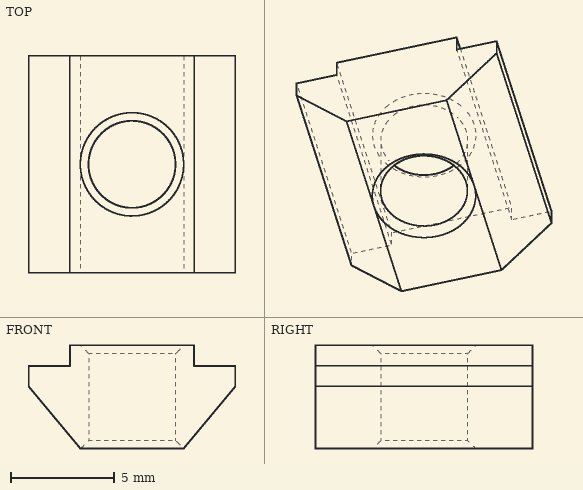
import cadquery as cq

length = 10.5
flange_width = 10.0
neck_width = 6.0
base_width = 5.0

taper_height = 3.0
flange_height = 1.0
neck_height = 1.0

hole_diameter = 4.2
countersink_diameter = 5.0

flange_bottom = taper_height
flange_top = flange_bottom + flange_height
total_height = flange_top + neck_height


def make_body():
    """Stepped, tapered profile extruded along Y and centred on the origin in plan."""
    return (
        cq.Workplane("XZ")
        .moveTo(-base_width / 2, 0)
        .lineTo(base_width / 2, 0)
        .lineTo(flange_width / 2, flange_bottom)
        .lineTo(flange_width / 2, flange_top)
        .lineTo(neck_width / 2, flange_top)
        .lineTo(neck_width / 2, total_height)
        .lineTo(-neck_width / 2, total_height)
        .lineTo(-neck_width / 2, flange_top)
        .lineTo(-flange_width / 2, flange_top)
        .lineTo(-flange_width / 2, flange_bottom)
        .close()
        .extrude(length / 2, both=True)
    )


def make_hole():
    """Vertical through hole with a 45 degree countersink at each end, as a solid to remove."""
    hole_radius = hole_diameter / 2
    countersink_radius = countersink_diameter / 2
    countersink_depth = countersink_radius - hole_radius
    return (
        cq.Workplane("XZ")
        .lineTo(countersink_radius, 0)
        .lineTo(hole_radius, countersink_depth)
        .lineTo(hole_radius, total_height - countersink_depth)
        .lineTo(countersink_radius, total_height)
        .lineTo(0, total_height)
        .close()
        .revolve(360, (0, 0, 0), (0, 1, 0))
    )


result = make_body().cut(make_hole())